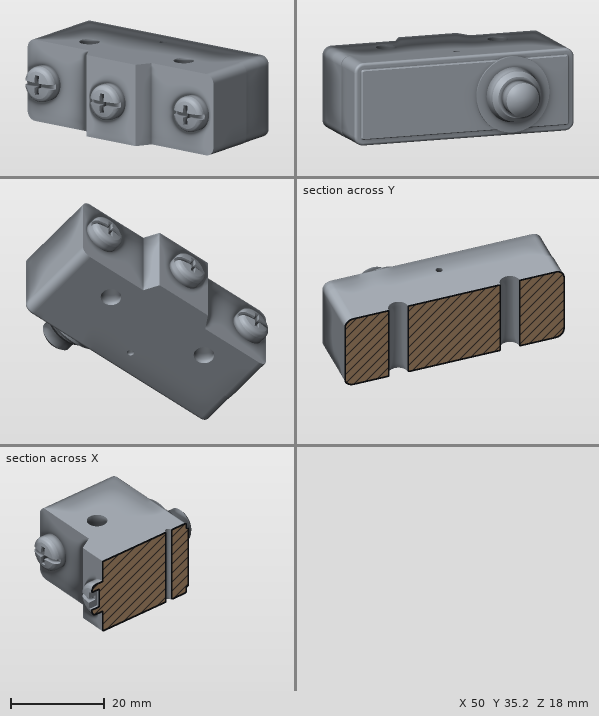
import cadquery as cq
import math


thickness = 18.0
corner_radius = 2.0
cover_width = 49.85
base_overhang = 0.15
base_top = 11.6
cover_top = 20.0
cover_edge_radius = 0.6

block_height = 3.25
block_face_half_width = 6.6
block_flank_angle = 30.0
block_root_half_width = block_face_half_width + block_height * math.tan(math.radians(block_flank_angle))

mount_hole_diameter = 4.4
mount_hole_pitch = 25.4
mount_hole_y = 5.75
pin_hole_diameter = 1.5
pin_hole_y = 15.0

plate_inset = 1.35
plate_thickness = 0.5
plate_corner_radius = 0.5
plate_wall_slope = 0.25

plunger_x = -10.65
flange_radius = 8.25
flange_top = 20.9
boot_base_radius = 6.0
boot_shoulder_radius = 5.5
boot_shoulder_y = 23.1
boot_top_radius = 4.5
boot_top = 24.1
plunger_radius = 3.7
plunger_shoulder_y = 27.05
plunger_tip = 28.65

screw_pitch = 20.0
screw_radius = 3.9
screw_head_height = 3.35
screw_crown_radius = 12.5
screw_edge_radius = 1.2
slot_width = 1.1
slot_depth = 1.85
cross_slot_length = 4.4
cross_slot_depth = 2.3


def rounded_block(x_min, x_max, y_min, y_max, height, radius):
    """Block along Y whose four long edges are rounded, centred on Z = 0."""
    return (
        cq.Workplane("XY")
        .box(x_max - x_min, y_max - y_min, height, centered=(False, False, True))
        .translate((x_min, y_min, 0))
        .edges("|Y")
        .fillet(radius)
    )


def make_housing():
    half_width = cover_width / 2
    base = rounded_block(-half_width, half_width + base_overhang, 0, base_top, thickness, corner_radius)
    cover = rounded_block(-half_width, half_width, base_top, cover_top, thickness, corner_radius)
    cover = cover.faces(">Y").edges().fillet(cover_edge_radius)
    block = (
        cq.Workplane("XY")
        .polyline([
            (-block_root_half_width, 0),
            (-block_face_half_width, -block_height),
            (block_face_half_width, -block_height),
            (block_root_half_width, 0),
        ])
        .close()
        .extrude(thickness / 2, both=True)
    )
    return base.union(cover).union(block)


def make_plate():
    """Thin plate on the cover whose walls lean inwards."""
    wall_angle = math.degrees(math.atan(plate_wall_slope / plate_thickness))
    outline = (
        cq.Sketch()
        .rect(cover_width - 2 * plate_inset, thickness - 2 * plate_inset)
        .vertices()
        .fillet(plate_corner_radius)
    )
    return (
        cq.Workplane("XZ", origin=(0, cover_top, 0))
        .placeSketch(outline)
        .extrude(-plate_thickness, taper=wall_angle)
    )


def make_plunger():
    """Flange, flared boot and domed plunger as one revolved profile."""
    flare = boot_base_radius - boot_shoulder_radius
    flank_height = boot_shoulder_y - flange_top
    flank_radius = (flare**2 + flank_height**2) / (2 * flare)
    half_angle = math.asin(flank_height / flank_radius) / 2
    flank_middle = (
        boot_shoulder_radius + flank_radius * (1 - math.cos(half_angle)),
        boot_shoulder_y - flank_radius * math.sin(half_angle),
    )
    cap_height = plunger_tip - plunger_shoulder_y
    cap_radius = (plunger_radius**2 + cap_height**2) / (2 * cap_height)
    cap_middle_x = plunger_radius / 2
    cap_middle = (cap_middle_x, plunger_tip - cap_radius + math.sqrt(cap_radius**2 - cap_middle_x**2))
    return (
        cq.Workplane("XY")
        .moveTo(0, cover_top)
        .lineTo(flange_radius, cover_top)
        .lineTo(flange_radius, flange_top)
        .lineTo(boot_base_radius, flange_top)
        .threePointArc(flank_middle, (boot_shoulder_radius, boot_shoulder_y))
        .lineTo(boot_top_radius, boot_top)
        .lineTo(plunger_radius, boot_top)
        .lineTo(plunger_radius, plunger_shoulder_y)
        .threePointArc(cap_middle, (0, plunger_tip))
        .close()
        .revolve(360, (0, 0, 0), (0, 1, 0))
        .translate((plunger_x, 0, 0))
    )


def make_slot(length, width, depth):
    """Cutter for a slot sunk into the crown of a screw head."""
    return (
        cq.Workplane("XY")
        .box(length, depth, width, centered=(True, False, True))
        .translate((0, -screw_head_height, 0))
    )


def make_screw_head():
    """Slotted head standing on the plane Y = 0 and pointing to -Y."""
    head = cq.Workplane("XZ").circle(screw_radius).extrude(screw_head_height)
    crown = (
        cq.Workplane("XY")
        .sphere(screw_crown_radius)
        .translate((0, screw_crown_radius - screw_head_height, 0))
    )
    head = head.intersect(crown)
    head = head.faces("<Y").edges().fillet(screw_edge_radius)
    slot = make_slot(2 * screw_radius, slot_width, slot_depth)
    cross_slot = make_slot(slot_width, cross_slot_length, cross_slot_depth)
    return head.cut(slot).cut(cross_slot)


def make_hole(x, y, diameter):
    """Cutter for a hole through the full thickness."""
    return cq.Workplane("XY").center(x, y).circle(diameter / 2).extrude(thickness, both=True)


result = make_housing().union(make_plate()).union(make_plunger())

screw_head = make_screw_head()
for screw_x, face_y in [(-screw_pitch, 0), (0, -block_height), (screw_pitch, 0)]:
    result = result.union(screw_head.translate((screw_x, face_y, 0)))

for hole_x in (-mount_hole_pitch / 2, mount_hole_pitch / 2):
    result = result.cut(make_hole(hole_x, mount_hole_y, mount_hole_diameter))
result = result.cut(make_hole(0, pin_hole_y, pin_hole_diameter))